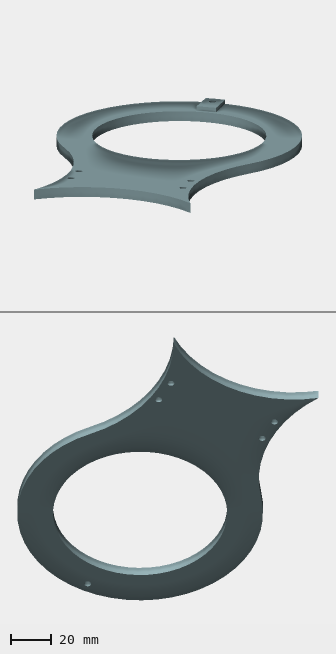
import cadquery as cq
import math

ring_radius = 59.99
opening_diameter = 85.0
total_length = 171.2
plate_thickness = 5.0

side_radius = 69.3
waist_y = -79.8
tip_y = ring_radius - total_length
end_arc_top_y = -97.0

tab_width = 10.0
tab_inner_y = 44.8
tab_height = 2.0
tab_hole_y = 55.0

hole_diameter = 3.5
tail_hole_x = 28.5
tail_hole_ys = (-73.6, -86.5)

centre_distance = ring_radius + side_radius
side_centre_x = math.sqrt(centre_distance**2 - waist_y**2)
join_x = side_centre_x * ring_radius / centre_distance
join_y = waist_y * ring_radius / centre_distance
waist_x = side_centre_x - side_radius
tip_x = side_centre_x - math.sqrt(side_radius**2 - (tip_y - waist_y) ** 2)


def make_plate():
    return (
        cq.Workplane("XY")
        .moveTo(join_x, join_y)
        .threePointArc((0, ring_radius), (-join_x, join_y))
        .threePointArc((-waist_x, waist_y), (-tip_x, tip_y))
        .threePointArc((0, end_arc_top_y), (tip_x, tip_y))
        .threePointArc((waist_x, waist_y), (join_x, join_y))
        .close()
        .extrude(plate_thickness)
    )


def make_tab():
    """Rectangular tab whose outer end follows the ring's edge."""
    height = plate_thickness + tab_height
    block = (
        cq.Workplane("XY")
        .center(0, (tab_inner_y + ring_radius) / 2)
        .rect(tab_width, ring_radius - tab_inner_y)
        .extrude(height)
    )
    return block.intersect(cq.Workplane("XY").circle(ring_radius).extrude(height))


def drill(body, diameter, points):
    depth = plate_thickness + tab_height
    return body.cut(cq.Workplane("XY").pushPoints(points).circle(diameter / 2).extrude(depth))


tail_holes = [(side * tail_hole_x, y) for side in (-1, 1) for y in tail_hole_ys]

result = make_plate().union(make_tab())
result = drill(result, opening_diameter, [(0, 0)])
result = drill(result, hole_diameter, tail_holes + [(0, tab_hole_y)])